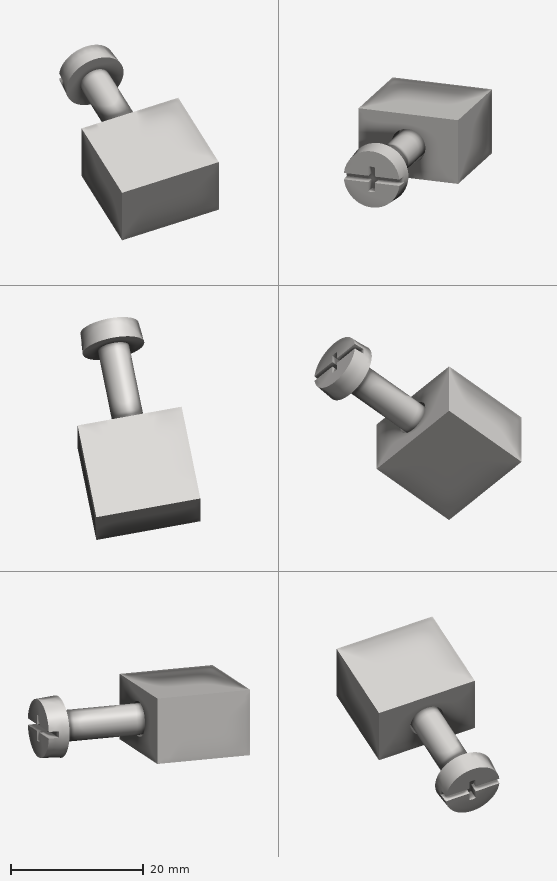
import cadquery as cq

total_length = 31.2
block_length = 15.0
block_width = 16.0
block_height = 10.2

head_height = 3.25
head_face_diameter = 9.0
head_base_diameter = 9.5
shank_diameter = 4.8

clearance_diameter = 5.5
clearance_depth = 3.12

slot_width = 1.03
slot_depth = head_height / 2
cross_span = 4.05

block_face_x = total_length - block_length


def cylinder_along_x(diameter, start, length):
    return cq.Workplane("YZ", origin=(start, 0, 0)).circle(diameter / 2).extrude(length)


def make_block():
    block = cq.Workplane("XY").box(block_length, block_width, block_height)
    block = block.translate((block_face_x + block_length / 2, 0, 0))
    return block.cut(cylinder_along_x(clearance_diameter, block_face_x, clearance_depth))


def make_head():
    return (
        cq.Workplane("YZ")
        .circle(head_face_diameter / 2)
        .workplane(offset=head_height)
        .circle(head_base_diameter / 2)
        .loft(ruled=True)
    )


def make_driver_recess():
    slot = cq.Workplane("YZ").rect(head_base_diameter, slot_width).extrude(slot_depth)
    cross = cq.Workplane("YZ").rect(slot_width, cross_span).extrude(slot_depth)
    return slot.union(cross.intersect(cylinder_along_x(cross_span, 0, slot_depth)))


shank_length = block_face_x + clearance_depth - head_height
shank = cylinder_along_x(shank_diameter, head_height, shank_length)
head = make_head().cut(make_driver_recess())

result = make_block().union(shank).union(head)